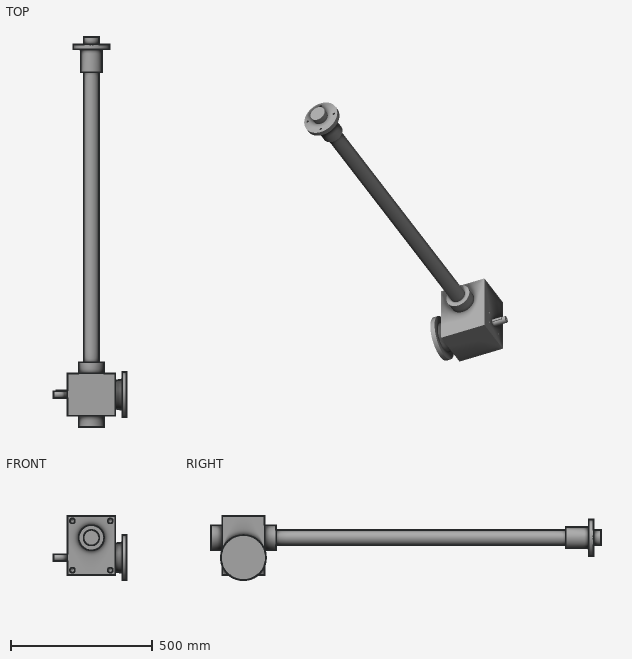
import cadquery as cq
import math


housing_width = 170.0
housing_depth = 150.0
housing_height = 210.0
worm_height = 62.0
axis_spacing = 70.0
collar_diameter = 90.0
collar_length = 40.0

cover_hole_diameter = 18.0
cover_hole_depth = 1.0
cover_hole_inset = 18.0
drill_point_angle = 120

tapped_hole_diameter = 6.6
tapped_hole_depth = 15.0
tapped_spacing_y = 75.0
tapped_spacing_z = 43.0

shaft_diameter = 25.0
shaft_length = 50.0
centre_hole_diameter = 6.6
centre_hole_depth = 11.0
key_length = 39.0
key_width = 8.0
key_top = 15.0

hub_small_diameter = 101.0
hub_large_diameter = 108.0
hub_length = 23.0
motor_flange_diameter = 160.0
motor_flange_thickness = 17.0

screw_length = 1380.0
screw_diameter = 55.0
end_disc_thickness = 4.0
journal_diameter = 45.0

nut_diameter = 76.0
nut_body_length = 81.0
nut_flange_diameter = 130.0
nut_flange_thickness = 18.0
nut_end_distance = 26.0
nut_fillet = 3.0
nut_hole_diameter = 9.0
nut_hole_circle = 102.0
nut_hole_count = 4

worm_z = -axis_spacing
housing_mid_z = worm_z - worm_height + housing_height / 2
housing_left = -housing_width / 2
housing_right = housing_width / 2
housing_front = -housing_depth / 2
screw_start = housing_front - collar_length
screw_end = screw_start + screw_length
nut_flange_end = screw_end - nut_end_distance
nut_start = nut_flange_end - nut_flange_thickness - nut_body_length

along_x = cq.Vector(1, 0, 0)
along_y = cq.Vector(0, 1, 0)


def cylinder_x(diameter, start_x, length, y=0.0, z=worm_z):
    """Cylinder running toward +X, on the worm axis unless placed elsewhere."""
    start = cq.Vector(start_x, y, z)
    return cq.Workplane(obj=cq.Solid.makeCylinder(diameter / 2, length, start, along_x))


def cylinder_y(diameter, start_y, length, x=0.0, z=0.0):
    """Cylinder running toward +Y, on the screw axis unless placed elsewhere."""
    start = cq.Vector(x, start_y, z)
    return cq.Workplane(obj=cq.Solid.makeCylinder(diameter / 2, length, start, along_y))


def corners(spacing_a, spacing_b):
    """Corner points of a rectangle centred on the origin."""
    return [(a * spacing_a / 2, b * spacing_b / 2) for a in (-1, 1) for b in (-1, 1)]


def make_cover_hole(x, z):
    """Shallow hole in the front face, ending in a drill point."""
    radius = cover_hole_diameter / 2
    point_depth = radius / math.tan(math.radians(drill_point_angle / 2))
    point_start = cq.Vector(x, housing_front + cover_hole_depth, z)
    point = cq.Solid.makeCone(radius, 0, point_depth, point_start, along_y)
    return cylinder_y(cover_hole_diameter, housing_front, cover_hole_depth, x, z).union(point)


def make_screw():
    disc = cylinder_y(screw_diameter, screw_start, end_disc_thickness)
    journal = cylinder_y(journal_diameter, screw_start, collar_length)
    main = cylinder_y(screw_diameter, housing_front, screw_end - housing_front)
    return disc.union(journal).union(main)


def make_housing(screw):
    block = cq.Workplane("XY").box(housing_width, housing_depth, housing_height)
    housing = block.translate((0, 0, housing_mid_z))
    collars = cylinder_y(collar_diameter, screw_start, housing_depth + 2 * collar_length)
    housing = housing.union(collars).cut(screw)

    cover_spacing_x = housing_width - 2 * cover_hole_inset
    cover_spacing_z = housing_height - 2 * cover_hole_inset
    for x, z in corners(cover_spacing_x, cover_spacing_z):
        housing = housing.cut(make_cover_hole(x, housing_mid_z + z))

    for y, z in corners(tapped_spacing_y, tapped_spacing_z):
        hole = cylinder_x(tapped_hole_diameter, housing_left, tapped_hole_depth, y, worm_z + z)
        housing = housing.cut(hole)
    return housing


def make_worm_shaft():
    shaft_start = housing_left - shaft_length
    shaft = cylinder_x(shaft_diameter, shaft_start, shaft_length)
    key = cq.Workplane("XY").box(key_length, key_top, key_width)
    key = key.translate((housing_left - key_length / 2, key_top / 2, worm_z))
    centre_hole = cylinder_x(centre_hole_diameter, shaft_start, centre_hole_depth)
    return shaft.union(key).cut(centre_hole)


def make_motor_flange():
    hub_start = cq.Vector(housing_right, 0, worm_z)
    hub = cq.Workplane(
        obj=cq.Solid.makeCone(
            hub_small_diameter / 2, hub_large_diameter / 2, hub_length, hub_start, along_x
        )
    )
    disc = cylinder_x(motor_flange_diameter, housing_right + hub_length, motor_flange_thickness)
    return hub.union(disc)


def make_nut():
    flange_start = nut_start + nut_body_length
    body = cylinder_y(nut_diameter, nut_start, nut_body_length)
    flange = cylinder_y(nut_flange_diameter, flange_start, nut_flange_thickness)

    root = cq.selectors.RadiusNthSelector(0)
    nut = body.union(flange)
    nut = nut.faces("<Y[1]").edges(root).fillet(nut_fillet)

    nut = nut.cut(cylinder_y(screw_diameter, nut_start, nut_body_length + nut_flange_thickness))
    for index in range(nut_hole_count):
        angle = 2 * math.pi * index / nut_hole_count
        x = nut_hole_circle / 2 * math.cos(angle)
        z = nut_hole_circle / 2 * math.sin(angle)
        nut = nut.cut(cylinder_y(nut_hole_diameter, flange_start, nut_flange_thickness, x, z))
    return nut


lifting_screw = make_screw()
housing = make_housing(lifting_screw)
worm_shaft = make_worm_shaft()
motor_flange = make_motor_flange()
travelling_nut = make_nut()

result = cq.Compound.makeCompound(
    [
        housing.solids().val(),
        worm_shaft.solids().val(),
        motor_flange.solids().val(),
        lifting_screw.solids().val(),
        travelling_nut.solids().val(),
    ]
)